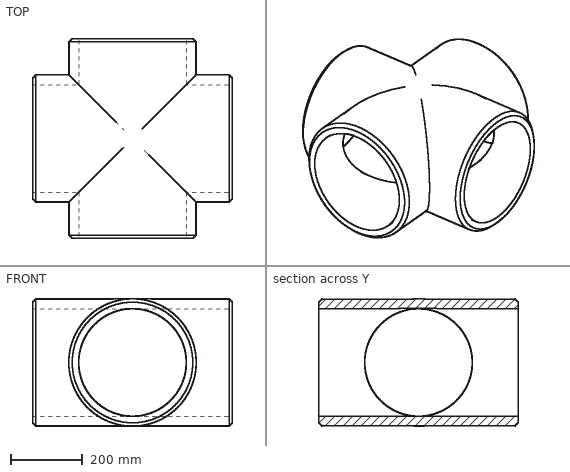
import cadquery as cq

length = 558.0
outer_diameter = 356.0
bore_diameter = 300.0
chamfer = 9.5


def centred_cylinder(plane, diameter):
    """Cylinder of the full run length, centred on the origin along the plane normal."""
    return cq.Workplane(plane).circle(diameter / 2).extrude(length / 2, both=True)


def outer_run(plane):
    """Solid pipe run with both end edges bevelled."""
    return centred_cylinder(plane, outer_diameter).edges("%CIRCLE").chamfer(chamfer)


run_planes = ("YZ", "XZ")

result = outer_run(run_planes[0]).union(outer_run(run_planes[1]))

for plane in run_planes:
    result = result.cut(centred_cylinder(plane, bore_diameter))